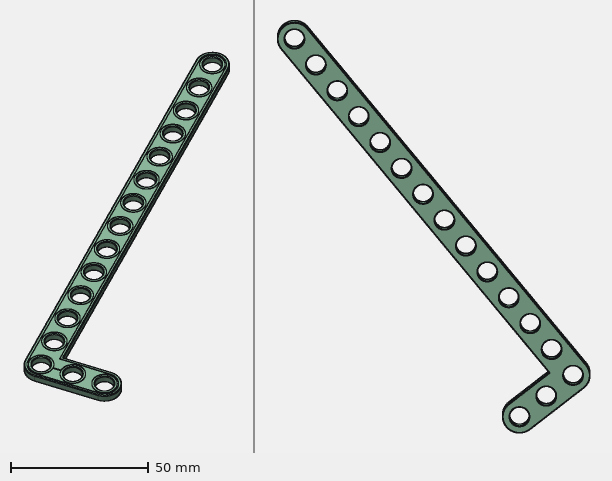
import cadquery as cq

LENGTH = 175.0
LONG_ARM_HOLES = 14
SHORT_ARM_HOLES = 3
THICKNESS = 3.2
HOLE_DIAMETER = 7.0
COLLAR_DIAMETER = 9.3
RIM_WIDTH = 1.1
RECESS_DEPTH = 0.21
RIB_WIDTH = 0.2
EDGE_CHAMFER = 0.3

PITCH = LENGTH / LONG_ARM_HOLES
LONG_REACH = (LONG_ARM_HOLES - 1) * PITCH
SHORT_REACH = (SHORT_ARM_HOLES - 1) * PITCH
RECESS_WIDTH = PITCH - 2 * RIM_WIDTH
FLOOR_HEIGHT = THICKNESS - RECESS_DEPTH

long_arm_centers = [(0, i * PITCH) for i in range(LONG_ARM_HOLES)]
short_arm_centers = [(i * PITCH, 0) for i in range(1, SHORT_ARM_HOLES)]
hole_centers = long_arm_centers + short_arm_centers


def angle_slab(width, bottom, height):
    """Two round-ended arms of the given width, joined at the corner hole."""
    base = cq.Workplane("XY").workplane(offset=bottom)
    long_arm = (
        base.center(0, LONG_REACH / 2)
        .slot2D(LONG_REACH + width, width, 90)
        .extrude(height)
    )
    short_arm = (
        base.center(SHORT_REACH / 2, 0)
        .slot2D(SHORT_REACH + width, width)
        .extrude(height)
    )
    return long_arm.union(short_arm)


def hole_cylinders(diameter, bottom, height):
    """A cylinder of the given diameter at every hole position."""
    return (
        cq.Workplane("XY")
        .workplane(offset=bottom)
        .pushPoints(hole_centers)
        .circle(diameter / 2)
        .extrude(height)
    )


def chamfered_plate():
    """Full-thickness plate with its holes, all top and bottom edges chamfered."""
    plate = angle_slab(PITCH, 0, THICKNESS)
    plate = plate.cut(hole_cylinders(HOLE_DIAMETER, 0, THICKNESS))
    return plate.faces("<Z or >Z").chamfer(EDGE_CHAMFER)


def corner_rib():
    """Thin bar between the corner hole center and its neighbor along +X."""
    return (
        cq.Workplane("XY")
        .workplane(offset=FLOOR_HEIGHT)
        .center(PITCH / 2, 0)
        .rect(PITCH, RIB_WIDTH)
        .extrude(RECESS_DEPTH)
    )


def top_recess():
    """Shallow volume inside the rim, leaving the hole collars and the corner rib."""
    recess = angle_slab(RECESS_WIDTH, FLOOR_HEIGHT, RECESS_DEPTH)
    collars = hole_cylinders(COLLAR_DIAMETER, FLOOR_HEIGHT, RECESS_DEPTH)
    return recess.cut(collars).cut(corner_rib())


result = chamfered_plate().cut(top_recess())